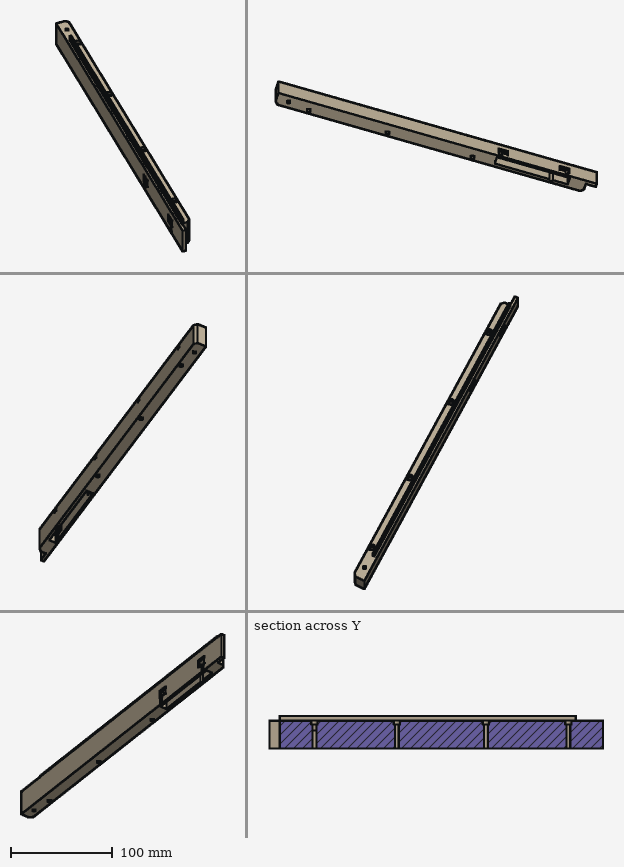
import cadquery as cq

plate_length = 328.0
plate_thickness = 3.5
body_height = 27.5

bar_length = 317.8
bar_depth = 12.5
corner_chamfer = 3.0

rail_start = 27.0
rail_front = 3.0
rail_thickness = 2.0
rail_height = 4.5

screw_end_offsets = (34.0, 115.0)
screw_y = 9.2
screw_diameter = 3.5
counterbore_diameter = 6.0
counterbore_depth = 3.5

pin_x = 12.5
pin_y = 6.2
pin_diameter = 3.0

windows_left = 226.5
windows_right = 299.8
front_wall = 2.0
head_width = 10.0
head_bottom = 9.0
head_top = 17.0
stem_inset = 1.0
stem_width = 3.0
stem_bottom = 2.0

cavity_clearance = 1.0
cavity_back = 9.2


def box(x, y, z, length, depth, height):
    """Block with its minimum corner at (x, y, z)."""
    return cq.Workplane("XY").box(length, depth, height, centered=False).translate((x, y, z))


def make_body():
    plate = box(0, 0, 0, plate_length, plate_thickness, body_height)
    bar = box(0, 0, 0, bar_length, bar_depth, body_height)
    bar = bar.edges("|Z and >Y").chamfer(corner_chamfer)
    rail_length = bar_length - rail_start
    rail = box(rail_start, rail_front, body_height, rail_length, rail_thickness, rail_height)
    return plate.union(bar).union(rail)


def cut_screw_holes(body):
    left = [(offset, screw_y) for offset in screw_end_offsets]
    right = [(bar_length - x, y) for x, y in left]
    points = left + right
    holes = cq.Workplane("XY").pushPoints(points).circle(screw_diameter / 2).extrude(body_height)
    counterbores = (
        cq.Workplane("XY", origin=(0, 0, body_height))
        .pushPoints(points)
        .circle(counterbore_diameter / 2)
        .extrude(-counterbore_depth)
    )
    return body.cut(holes).cut(counterbores)


def cut_pin_hole(body):
    hole = cq.Workplane("XY").center(pin_x, pin_y).circle(pin_diameter / 2).extrude(body_height)
    return body.cut(hole)


def cut_window(body, outer_x, inward):
    """Cut one window from its outer side; inward is +1 or -1 along X."""
    stem_outer = outer_x + inward * stem_inset
    stem_inner = stem_outer + inward * stem_width
    head_inner = outer_x + inward * head_width
    outline = [
        (outer_x, head_top),
        (head_inner, head_top),
        (head_inner, head_bottom),
        (stem_inner, head_bottom),
        (stem_inner, stem_bottom),
        (stem_outer, stem_bottom),
        (stem_outer, head_bottom),
        (outer_x, head_bottom),
    ]
    window = cq.Workplane("XZ").polyline(outline).close().extrude(-front_wall)
    return body.cut(window)


def cut_cavity(body):
    length = windows_right - windows_left + 2 * cavity_clearance
    height = head_top + cavity_clearance
    cavity = box(
        windows_left - cavity_clearance, front_wall, 0, length, cavity_back - front_wall, height
    )
    return body.cut(cavity)


body = make_body()
body = cut_screw_holes(body)
body = cut_pin_hole(body)
body = cut_cavity(body)
body = cut_window(body, windows_left, 1)
body = cut_window(body, windows_right, -1)

result = body